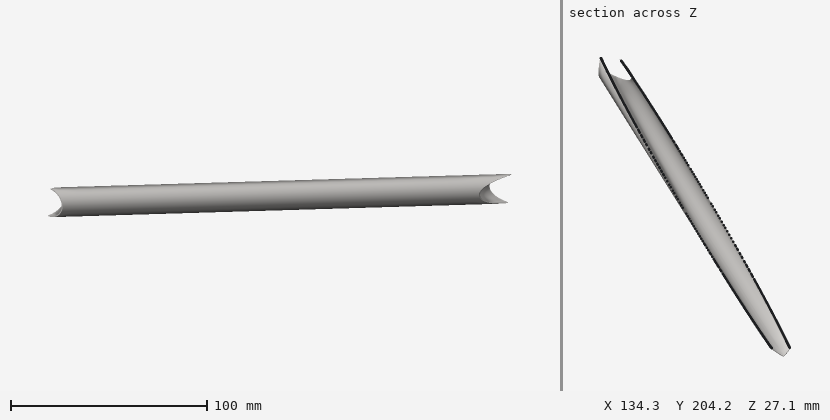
import cadquery as cq

outer_radius = 7.5
wall = 0.51
mouth_x = 0.8
mouth_z = 19.6
far_x = 138.7
far_y = 210.9
far_z = 7.0
lead = 30.7

side_tilt = 6.0
cope_radius = 9.5
cope_x = 139.5
cope_y = 209.5
cope_z = 7.0
cope_length = 81.7
block = 122.6

mouth = cq.Vector(mouth_x, 0, mouth_z)
far_end = cq.Vector(far_x, far_y, far_z)
axis = (far_end - mouth).normalized()


def inclined_tube():
    """Straight round tube, longer than needed at the mouth."""
    length = (far_end - mouth).Length + lead
    start = cq.Plane(origin=mouth - axis * lead, normal=axis)
    return cq.Workplane(start).circle(outer_radius).circle(outer_radius - wall).extrude(length)


def miter_blocks():
    """Blocks outside the two planes that meet in a corner on the tube axis."""
    front = cq.Workplane().box(block, block, block).translate((0, -block / 2, mouth_z))
    side = (
        cq.Workplane()
        .box(block, block, block)
        .translate((-block / 2, 0, 0))
        .rotate((0, 0, 0), (0, 1, 0), side_tilt)
        .translate(mouth)
    )
    return front.union(side)


def cope_cylinder(direction):
    """Horizontal cylinder that hollows the far end from one side."""
    center = cq.Vector(cope_x, cope_y, cope_z)
    start = center - direction * (cope_length / 2)
    return cq.Workplane(cq.Plane(origin=start, normal=direction)).circle(cope_radius).extrude(cope_length)


result = inclined_tube().cut(miter_blocks())
for direction in (cq.Vector(1, 0, 0), cq.Vector(0, 1, 0)):
    result = result.cut(cope_cylinder(direction))